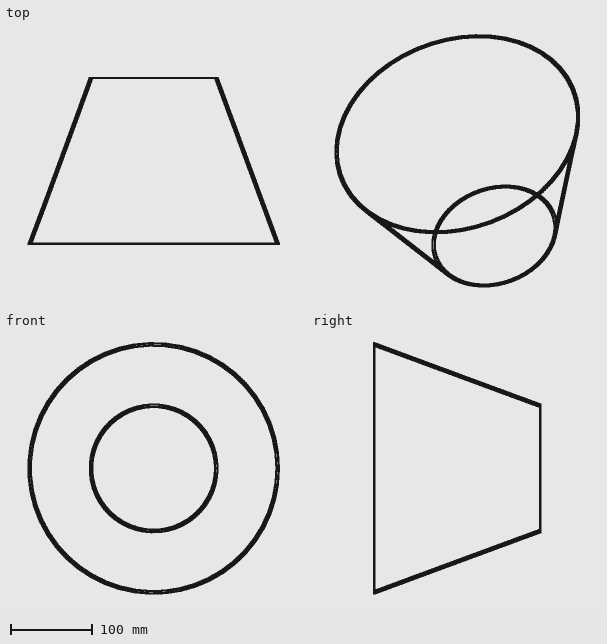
import cadquery as cq

large_diameter = 306.0
small_diameter = 156.0
length = 203.0
wall = 3.0

large_radius = large_diameter / 2
small_radius = small_diameter / 2

wall_section = (
    cq.Workplane("XY")
    .moveTo(large_radius - wall, 0)
    .lineTo(large_radius, 0)
    .lineTo(small_radius, length)
    .lineTo(small_radius - wall, length)
    .close()
)

result = wall_section.revolve(360, (0, 0, 0), (0, 1, 0))